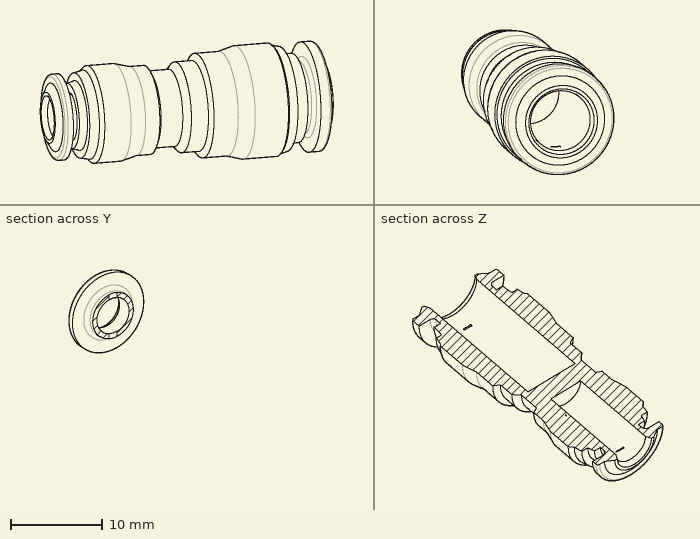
import cadquery as cq
import math

total_length = 31.5

large_collet = dict(
    neck_radius=4.03, neck_length=1.13, neck_fillet=0.45,
    flange_radius=6.08, flange_length=1.32, flange_fillet=0.25,
    lip_base_radius=4.98, lip_end_radius=4.03, lip_length=0.72,
)
small_collet = dict(
    neck_radius=2.75, neck_length=1.05, neck_fillet=0.5,
    flange_radius=4.75, flange_length=0.88, flange_fillet=0.28,
    lip_base_radius=3.78, lip_end_radius=2.8, lip_length=0.6,
)

large_collar_mouth = 4.9
large_collar_root = 5.0
large_collar_flare = 5.15
large_shoulder_mouth = 5.8
large_shoulder_root = 6.05
large_grip = 12.5 / 2
large_barrel = 5.75
middle = 5.0
waist = 4.25
small_barrel = 4.9
small_grip = 5.4
small_shoulder_mouth = 4.7
small_collar_root = 3.85
small_collar_mouth = 3.6

large_half = [
    (1.3, large_collar_mouth, large_collar_root),
    (0.13, large_collar_root, large_collar_flare),
    (1.05, large_shoulder_mouth, large_shoulder_root),
    (0.2, large_shoulder_root, large_grip),
    (3.8, large_grip, large_grip),
    (1.8, large_grip, large_barrel),
    (2.77, large_barrel, large_barrel),
    (0.4, large_barrel, middle),
    (1.95, middle, middle),
    (0.75, middle, waist),
]

small_half = [
    (0.85, small_collar_mouth, small_collar_root),
    (1.05, small_shoulder_mouth, small_barrel),
    (0.47, small_barrel, small_grip),
    (3.02, small_grip, small_grip),
    (1.8, small_grip, small_barrel),
    (1.65, small_barrel, small_barrel),
    (0.35, small_barrel, waist),
]

mouth_rim = 0.38
mouth_taper = 0.3
mouth_depth = 0.63

slit_width = 1.05
large_slit_length = 0.2
small_slit_length = 0.1


def collet_length(collet):
    return collet["neck_length"] + collet["flange_length"] + collet["lip_length"]


def half_length(sections):
    return sum(length for length, start, end in sections)


def revolve_profile(profile):
    return profile.close().revolve(360, (0, 0, 0), (0, 1, 0))


def make_half(sections):
    """Stack of cones and cylinders running from y = 0 toward -Y."""
    profile = cq.Workplane("XY").moveTo(0, 0)
    y = 0
    radius = 0
    for length, start, end in sections:
        if start != radius:
            profile = profile.lineTo(start, y)
        radius = end
        y -= length
        profile = profile.lineTo(end, y)
    return revolve_profile(profile.lineTo(0, y))


def make_collet(collet):
    """Collet standing on the port face at y = 0 and running toward +Y."""
    neck = collet["neck_radius"]
    flange = collet["flange_radius"]
    inner = collet["neck_fillet"]
    outer = collet["flange_fillet"]
    flange_back = collet["neck_length"]
    flange_front = flange_back + collet["flange_length"]
    end = collet_length(collet)
    bend = math.sqrt(0.5)
    profile = (
        cq.Workplane("XY")
        .lineTo(neck, 0)
        .lineTo(neck, flange_back - inner)
        .threePointArc(
            (neck + inner * (1 - bend), flange_back - inner * (1 - bend)),
            (neck + inner, flange_back),
        )
        .lineTo(flange, flange_back)
        .lineTo(flange, flange_front - outer)
        .threePointArc(
            (flange - outer * (1 - bend), flange_front - outer * (1 - bend)),
            (flange - outer, flange_front),
        )
        .lineTo(collet["lip_base_radius"], flange_front)
        .lineTo(collet["lip_end_radius"], end)
        .lineTo(0, end)
    )
    return revolve_profile(profile)


def make_socket(collet, floor):
    """Bore from the collet end down to y = floor, tapered at its mouth."""
    end = collet_length(collet)
    mouth = collet["lip_end_radius"] - mouth_rim
    bore = mouth - mouth_taper
    profile = (
        cq.Workplane("XY")
        .moveTo(0, end)
        .lineTo(mouth, end)
        .lineTo(bore, end - mouth_depth)
        .lineTo(bore, floor)
        .lineTo(0, floor)
    )
    return revolve_profile(profile)


def make_port(sections, collet, slit_length):
    """One half of the fitting with its port face at y = 0, opening toward +Y."""
    slit = cq.Workplane("XY").box(
        slit_width, slit_length, 2 * collet["flange_radius"], centered=(True, False, True)
    )
    return (
        make_half(sections)
        .union(make_collet(collet))
        .cut(make_socket(collet, -half_length(sections)))
        .cut(slit)
    )


large_face = total_length / 2 - collet_length(large_collet)
small_face = -total_length / 2 + collet_length(small_collet)
waist_top = large_face - half_length(large_half)
waist_bottom = small_face + half_length(small_half)

large_port = make_port(large_half, large_collet, large_slit_length).translate((0, large_face, 0))
small_port = (
    make_port(small_half, small_collet, small_slit_length)
    .rotate((0, 0, 0), (0, 0, 1), 180)
    .translate((0, small_face, 0))
)
waist_rod = cq.Workplane("XZ", origin=(0, waist_top, 0)).circle(waist).extrude(waist_top - waist_bottom)

result = large_port.union(waist_rod).union(small_port)